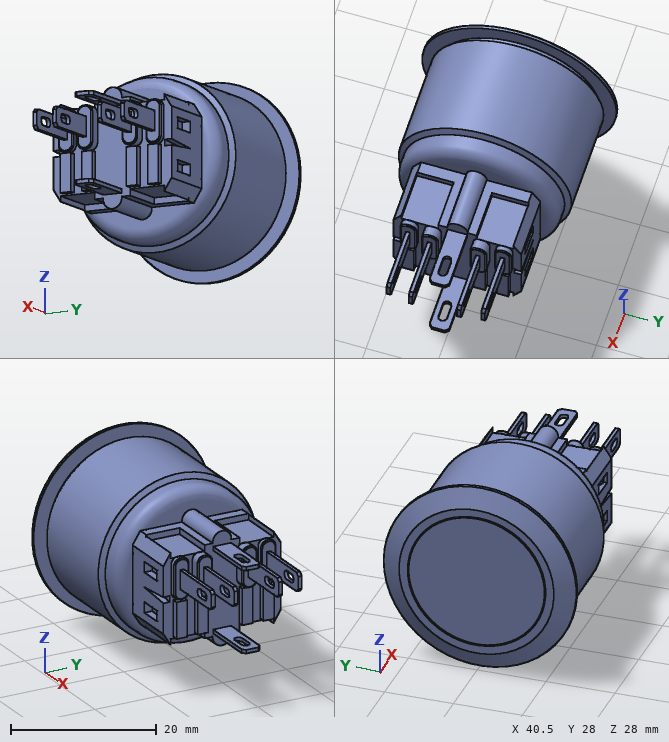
import cadquery as cq


FLANGE_RADIUS = 28.0 / 2
FACE_RADIUS = 22.48 / 2
FLANGE_BEVEL = 1.45
FLANGE_LENGTH = 1.95
BARREL_RADIUS = 11.62
SLEEVE_RADIUS = 24.9 / 2
SLEEVE_START = 2.9
SLEEVE_END = 18.02
SLEEVE_TAPER = 0.5
BODY_LENGTH = 21.4
BODY_FILLET = 1.8

BUTTON_RADIUS = 9.9
GROOVE_WIDTH = 0.12
GROOVE_DEPTH = 0.12

BLOCK_END = 30.17
BLOCK_HALF_WIDTH = 9.2
BLOCK_HALF_HEIGHT = 6.93
BLOCK_CHAMFER_Y = 1.2
BLOCK_CHAMFER_Z = 1.9
RIDGE_RADIUS = 1.45
RIDGE_TOP = 8.5

RECESS_START = 23.1
RECESS_INNER_Y = 2.75
RECESS_OUTER_Y = 8.05
RECESS_DEPTH = 0.95

WINDOW_START = 24.75
WINDOW_END = 28.35
WINDOW_HEIGHT = 1.58
RAMP_START = 26.45
RAMP_END = 27.95
WINDOW_DEEP = 1.2
WINDOW_SHALLOW = 0.53

NOTCH_START = 24.75
NOTCH_HALF_HEIGHT = 0.45
NOTCH_DEPTH = 1.0

BLADE_THICKNESS = 0.55
BLADE_WIDTH = 2.85
BLADE_CHAMFER = 0.5
HOLE_WIDTH = 1.2
ROW_Z = 3.0
INNER_BLADE_Y = 3.5
OUTER_BLADE_Y = 6.8
INNER_BLADE_END = 40.5
OUTER_BLADE_END = 40.0
SIDE_HOLE_LENGTH = 2.6
SIDE_HOLE_MARGIN = 1.38
LAMP_BLADE_Z = 6.15
LAMP_BLADE_END = 38.8
LAMP_HOLE_LENGTH = 3.15
LAMP_HOLE_MARGIN = 1.38

COLLAR_WIDTH = 2.35
COLLAR_HEIGHT = 6.15
COLLAR_CORNER = 1.05
COLLAR_CHAMFER = 0.182
INNER_COLLAR_END = 31.8
OUTER_COLLAR_END = 31.1
PLUG_END = OUTER_COLLAR_END
PLUG_INSET = 0.345


def box(x_range, y_range, z_range):
    """Box given by its (low, high) limits along each axis."""
    limits = (x_range, y_range, z_range)
    sizes = [high - low for low, high in limits]
    corner = [low for low, high in limits]
    return cq.Workplane("XY").box(*sizes, centered=False).translate(tuple(corner))


def round_body():
    profile = (
        cq.Workplane("XY")
        .lineTo(0, FACE_RADIUS)
        .lineTo(FLANGE_BEVEL, FLANGE_RADIUS)
        .lineTo(FLANGE_LENGTH, FLANGE_RADIUS)
        .lineTo(FLANGE_LENGTH, BARREL_RADIUS)
        .lineTo(SLEEVE_START, BARREL_RADIUS)
        .lineTo(SLEEVE_START, SLEEVE_RADIUS)
        .lineTo(SLEEVE_END - SLEEVE_TAPER, SLEEVE_RADIUS)
        .lineTo(SLEEVE_END, BARREL_RADIUS)
        .lineTo(BODY_LENGTH, BARREL_RADIUS)
        .lineTo(BODY_LENGTH, 0)
        .close()
    )
    body = profile.revolve(360, (0, 0, 0), (1, 0, 0))
    body = body.faces(">X").edges().fillet(BODY_FILLET)
    groove = (
        cq.Workplane("YZ")
        .circle(BUTTON_RADIUS + GROOVE_WIDTH)
        .circle(BUTTON_RADIUS)
        .extrude(GROOVE_DEPTH)
    )
    return body.cut(groove)


def block_body():
    """Block with bevelled long edges and a round ridge along top and bottom."""
    flat_y = BLOCK_HALF_WIDTH - BLOCK_CHAMFER_Y
    wall_z = BLOCK_HALF_HEIGHT - BLOCK_CHAMFER_Z
    length = BLOCK_END - BODY_LENGTH
    outline = [
        (flat_y, BLOCK_HALF_HEIGHT),
        (BLOCK_HALF_WIDTH, wall_z),
        (BLOCK_HALF_WIDTH, -wall_z),
        (flat_y, -BLOCK_HALF_HEIGHT),
        (-flat_y, -BLOCK_HALF_HEIGHT),
        (-BLOCK_HALF_WIDTH, -wall_z),
        (-BLOCK_HALF_WIDTH, wall_z),
        (-flat_y, BLOCK_HALF_HEIGHT),
    ]
    base = cq.Workplane("YZ", origin=(BODY_LENGTH, 0, 0))
    block = base.polyline(outline).close().extrude(length)
    ridge_z = RIDGE_TOP - RIDGE_RADIUS
    ridges = base.pushPoints([(0, ridge_z), (0, -ridge_z)]).circle(RIDGE_RADIUS).extrude(length)
    return block.union(ridges)


def top_recess():
    """Recess on the +Y, +Z quarter of the block, open to the rear."""
    return box(
        (RECESS_START, BLOCK_END),
        (RECESS_INNER_Y, RECESS_OUTER_Y),
        (BLOCK_HALF_HEIGHT - RECESS_DEPTH, BLOCK_HALF_HEIGHT),
    )


def latch_window():
    """Window on the +Y wall above mid height, with a ramped floor."""
    wall = BLOCK_HALF_WIDTH
    floor = [
        (WINDOW_START, wall),
        (WINDOW_START, wall - WINDOW_DEEP),
        (RAMP_START, wall - WINDOW_DEEP),
        (RAMP_END, wall - WINDOW_SHALLOW),
        (WINDOW_END, wall - WINDOW_SHALLOW),
        (WINDOW_END, wall),
    ]
    bottom = ROW_Z - WINDOW_HEIGHT / 2
    return cq.Workplane("XY", origin=(0, 0, bottom)).polyline(floor).close().extrude(WINDOW_HEIGHT)


def side_notch():
    """Notch on the +Y wall, widening from a point towards the rear."""
    triangle = [
        (NOTCH_START, 0),
        (BLOCK_END, NOTCH_HALF_HEIGHT),
        (BLOCK_END, -NOTCH_HALF_HEIGHT),
    ]
    wall = cq.Workplane("XZ", origin=(0, BLOCK_HALF_WIDTH, 0))
    return wall.polyline(triangle).close().extrude(NOTCH_DEPTH)


def with_mirror(shape, plane):
    return shape.union(shape.mirror(plane))


def blade(end, hole_length, hole_margin):
    """Horizontal terminal blade on the X axis, ending at X = end."""
    length = end - BODY_LENGTH
    hole_x = end - hole_margin - hole_length / 2
    flat = (
        cq.Workplane("XY")
        .box(length, BLADE_WIDTH, BLADE_THICKNESS)
        .translate((end - length / 2, 0, 0))
        .edges("|Z and >X")
        .chamfer(BLADE_CHAMFER)
    )
    hole = (
        cq.Workplane("XY", origin=(hole_x, 0, 0))
        .slot2D(hole_length, HOLE_WIDTH)
        .extrude(BLADE_THICKNESS, both=True)
    )
    return flat.cut(hole)


def side_blade(y, end):
    upright = blade(end, SIDE_HOLE_LENGTH, SIDE_HOLE_MARGIN).rotate((0, 0, 0), (1, 0, 0), 90)
    return upright.translate((0, y, ROW_Z))


def collar(y, end):
    return (
        cq.Workplane("YZ", origin=(BLOCK_END, y, ROW_Z))
        .rect(COLLAR_WIDTH, COLLAR_HEIGHT)
        .extrude(end - BLOCK_END)
        .edges("|X")
        .fillet(COLLAR_CORNER)
        .faces(">X")
        .chamfer(COLLAR_CHAMFER)
    )


def plug(y):
    """Blank below the mid plane, slightly smaller than the collar it mirrors."""
    half_width = COLLAR_WIDTH / 2 - PLUG_INSET
    half_height = COLLAR_HEIGHT / 2 - PLUG_INSET
    return box(
        (BLOCK_END, PLUG_END),
        (y - half_width, y + half_width),
        (-ROW_Z - half_height, -ROW_Z + half_height),
    )


block = block_body()
block = block.cut(with_mirror(with_mirror(top_recess(), "XZ"), "XY"))
block = block.cut(with_mirror(with_mirror(latch_window(), "XZ"), "XY"))
block = block.cut(with_mirror(side_notch(), "XZ"))

result = round_body().union(block)

lamp_blade = blade(LAMP_BLADE_END, LAMP_HOLE_LENGTH, LAMP_HOLE_MARGIN)
for z in (LAMP_BLADE_Z, -LAMP_BLADE_Z):
    result = result.union(lamp_blade.translate((0, 0, z)))

for side in (1, -1):
    inner_y = side * INNER_BLADE_Y
    outer_y = side * OUTER_BLADE_Y
    result = result.union(collar(inner_y, INNER_COLLAR_END))
    result = result.union(collar(outer_y, OUTER_COLLAR_END))
    result = result.union(side_blade(inner_y, INNER_BLADE_END))
    result = result.union(side_blade(outer_y, OUTER_BLADE_END))
    result = result.union(plug(inner_y)).union(plug(outer_y))